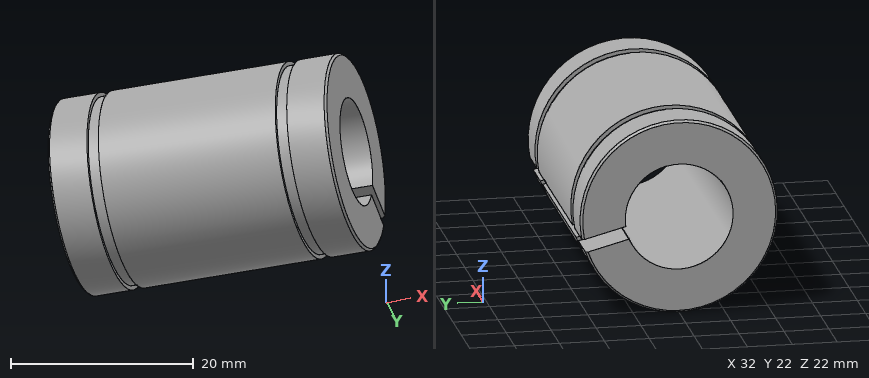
import cadquery as cq

length = 32.0
outer_diameter = 22.0
bore_diameter = 12.0
end_chamfer = 0.25

groove_diameter = 21.0
groove_width = 1.3
groove_span = 22.9

slit_width = 1.5
slit_angle = 15.0


def cylinder(diameter, cylinder_length, center_x=0.0):
    """Solid cylinder along X, centred at center_x."""
    start_x = center_x - cylinder_length / 2
    return cq.Workplane("YZ", origin=(start_x, 0, 0)).circle(diameter / 2).extrude(cylinder_length)


sleeve = cylinder(outer_diameter, length).faces("<X or >X").edges().chamfer(end_chamfer)

groove_offset = (groove_span - groove_width) / 2
for groove_x in (-groove_offset, groove_offset):
    ring = cylinder(outer_diameter, groove_width, groove_x).cut(
        cylinder(groove_diameter, groove_width, groove_x)
    )
    sleeve = sleeve.cut(ring)

sleeve = sleeve.cut(cylinder(bore_diameter, length))

slit = (
    cq.Workplane("XY")
    .box(length, outer_diameter, slit_width, centered=(True, False, True))
    .rotate((0, 0, 0), (1, 0, 0), -slit_angle)
)
result = sleeve.cut(slit)